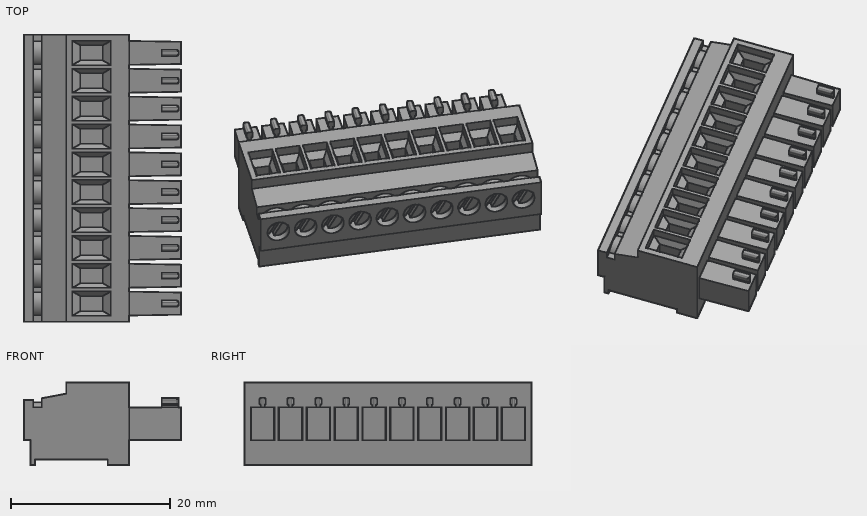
import cadquery as cq

body_length_y = 36.1
overall_x = 19.8
overall_z = 10.4
pole_count = 10
pole_pitch = 3.5
pole_ys = [(i - (pole_count - 1) / 2) * pole_pitch for i in range(pole_count)]

body_back_x = 13.25
lower_front_x = 0.83
nose_bottom_z = 3.15
foot_height = 0.7
front_foot_back_x = 1.4
back_foot_front_x = 10.55
lip_top_z = 8.2
groove_front_x = 1.2
groove_back_x = 2.25
groove_floor_z = 7.25
slope_bottom_z = 8.4
slope_top_z = 9.0
upper_front_x = 5.3

hump_width = 2.9
hump_height = 0.65

bore_diameter = 2.8
bore_z = 5.9
bore_depth = 1.0
slot_width = 0.72
slot_depth = 0.72
slot_angle = 120.0

entry_x = 8.52
mouth_length = 4.85
mouth_width = 3.07
mouth_depth = 1.15
throat_length = 2.8
throat_width = 1.88
funnel_depth = 0.65
throat_bottom_z = bore_z

tab_root_width = 3.05
tab_tip_width = 2.8
tab_top_z = groove_floor_z

key_front_x = 17.35
key_back_x = 19.45
key_width = 0.8
key_neck_width = 0.47
key_height = 1.2
key_neck_height = 0.25
key_undercut_height = 0.18
key_top_radius = 0.2
key_tip_radius = 0.3


def make_housing():
    outline = [
        (lower_front_x, 0),
        (front_foot_back_x, 0),
        (front_foot_back_x, foot_height),
        (back_foot_front_x, foot_height),
        (back_foot_front_x, 0),
        (body_back_x, 0),
        (body_back_x, overall_z),
        (upper_front_x, overall_z),
        (upper_front_x, slope_top_z),
        (groove_back_x, slope_bottom_z),
        (groove_back_x, groove_floor_z),
        (groove_front_x, groove_floor_z),
        (groove_front_x, lip_top_z),
        (0, lip_top_z),
        (0, nose_bottom_z),
        (lower_front_x, nose_bottom_z),
    ]
    return cq.Workplane("XZ").polyline(outline).close().extrude(body_length_y / 2, both=True)


def make_hump(y):
    return (
        cq.Workplane("YZ", origin=(groove_front_x, y, groove_floor_z))
        .moveTo(-hump_width / 2, 0)
        .threePointArc((0, hump_height), (hump_width / 2, 0))
        .close()
        .extrude(groove_back_x - groove_front_x)
    )


def make_screw_recess(y):
    bore = (
        cq.Workplane("YZ", origin=(0, y, bore_z))
        .circle(bore_diameter / 2)
        .extrude(bore_depth)
    )
    slot_end = bore_depth + slot_depth
    slot_blank = (
        cq.Workplane("YZ", origin=(0, y, bore_z))
        .transformed(rotate=(0, 0, slot_angle))
        .rect(bore_diameter, slot_width)
        .extrude(slot_end)
    )
    slot = (
        cq.Workplane("YZ", origin=(0, y, bore_z))
        .circle(bore_diameter / 2)
        .extrude(slot_end)
        .intersect(slot_blank)
    )
    return bore.union(slot)


def make_wire_entry(y):
    funnel_top_z = overall_z - mouth_depth
    funnel_bottom_z = funnel_top_z - funnel_depth
    mouth = (
        cq.Workplane("XY", origin=(entry_x, y, funnel_top_z))
        .rect(mouth_length, mouth_width)
        .extrude(mouth_depth)
    )
    funnel = (
        cq.Workplane("XY", origin=(entry_x, y, funnel_bottom_z))
        .rect(throat_length, throat_width)
        .workplane(offset=funnel_depth)
        .rect(mouth_length, mouth_width)
        .loft(ruled=True)
    )
    throat = (
        cq.Workplane("XY", origin=(entry_x, y, throat_bottom_z))
        .rect(throat_length, throat_width)
        .extrude(funnel_bottom_z - throat_bottom_z)
    )
    return mouth.union(funnel).union(throat)


def make_tab(y):
    outline = [
        (body_back_x, y - tab_root_width / 2),
        (overall_x, y - tab_tip_width / 2),
        (overall_x, y + tab_tip_width / 2),
        (body_back_x, y + tab_root_width / 2),
    ]
    return (
        cq.Workplane("XY", origin=(0, 0, nose_bottom_z))
        .polyline(outline)
        .close()
        .extrude(tab_top_z - nose_bottom_z)
    )


def make_key(y):
    half = key_width / 2
    neck_half = key_neck_width / 2
    shoulder_z = key_neck_height + key_undercut_height
    right_side = [(neck_half, 0), (neck_half, key_neck_height), (half, shoulder_z), (half, key_height)]
    left_side = [(-v, z) for v, z in reversed(right_side)]
    length = key_back_x - key_front_x
    bar = (
        cq.Workplane("YZ", origin=(key_front_x, y, tab_top_z))
        .polyline(right_side + left_side)
        .close()
        .extrude(length)
        .edges(">Z and |X")
        .fillet(key_top_radius)
    )
    rounded_plan = (
        cq.Workplane("XY", origin=(key_front_x + length / 2, y, tab_top_z))
        .rect(length, key_width)
        .extrude(key_height)
        .edges("|Z and >X")
        .fillet(key_tip_radius)
    )
    return bar.intersect(rounded_plan)


result = make_housing()
for pole_y in pole_ys:
    result = result.union(make_hump(pole_y))
    result = result.cut(make_screw_recess(pole_y))
    result = result.cut(make_wire_entry(pole_y))
    result = result.union(make_tab(pole_y))
    result = result.union(make_key(pole_y))